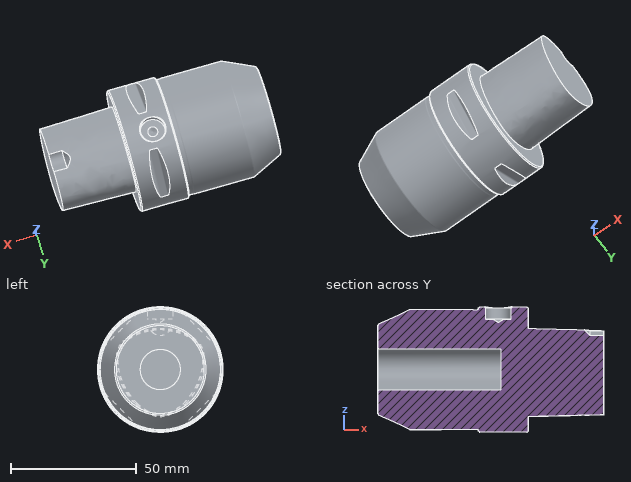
import cadquery as cq
import math


BODY_LENGTH = 60.0
NOSE_FACE_RADIUS = 17.5
NOSE_RADIUS = 18.2
NOSE_EDGE = 0.3
CONE_LENGTH = 12.8
BARREL_RADIUS = 48.0 / 2
BARREL_EDGE_FILLET = 1.0
GROOVE_RADIUS = 47.8 / 2
GROOVE_START = -22.4
GROOVE_RAMP = 0.5
GROOVE_LIP = 0.4
FLANGE_RADIUS = 50.0 / 2
FLANGE_WIDTH = 20.0
FLANGE_CHAMFER = 0.5
BORE_RADIUS = 16.0 / 2
BORE_DEPTH = 49.0

SHANK_LENGTH = 30.0
SHANK_MEAN_RADIUS = 17.6
SHANK_LOBE_COUNT = 3
SHANK_LOBE = 1.2
SHANK_TAPER = 1.0 / 40
SHANK_CURVE_POINTS = 36

KEYWAY_RADIUS = 4.5
KEYWAY_LENGTH = 5.5
KEYWAY_AXIS_HEIGHT = 18.05

SLOT_X = -10.0
SLOT_COUNT = 4
SLOT_FIRST_ANGLE = 45.0
SLOT_FLOOR_RADIUS = 22.25
SLOT_FLOOR_WIDTH = 3.4
SLOT_WALL_ANGLE = 30.0
SLOT_CORNER_RADIUS = 0.75

SCREW_X = -12.0
SCREW_RADIUS = 10.0 / 2
SCREW_CHAMFER = 0.3
SCREW_FLOOR_HEIGHT = 20.0
SCREW_SOCKET_RADIUS = 4.0 / 2
SCREW_SOCKET_DEPTH = 1.2

CUT_MARGIN = 1.0


def make_body():
    nose = -BODY_LENGTH
    cone_end = nose + CONE_LENGTH
    flange_start = -FLANGE_WIDTH
    profile = [
        (nose, 0),
        (nose, NOSE_FACE_RADIUS),
        (nose + NOSE_EDGE, NOSE_RADIUS),
        (cone_end, BARREL_RADIUS),
        (GROOVE_START, BARREL_RADIUS),
        (GROOVE_START + GROOVE_RAMP, GROOVE_RADIUS),
        (flange_start - GROOVE_LIP, GROOVE_RADIUS),
        (flange_start, BARREL_RADIUS),
        (flange_start, FLANGE_RADIUS - FLANGE_CHAMFER),
        (flange_start + FLANGE_CHAMFER, FLANGE_RADIUS),
        (-FLANGE_CHAMFER, FLANGE_RADIUS),
        (0, FLANGE_RADIUS - FLANGE_CHAMFER),
        (0, 0),
    ]
    turned = cq.Workplane("XY").polyline(profile).close().revolve(360, (0, 0, 0), (1, 0, 0))
    cone_edge = cq.NearestToPointSelector((cone_end, 0, 0))
    return turned.edges(cone_edge).fillet(BARREL_EDGE_FILLET)


def shank_section(mean_radius):
    """Points of the three-lobed curve, from a support distance that swings about its mean."""
    points = []
    for i in range(SHANK_CURVE_POINTS):
        angle = 2 * math.pi * i / SHANK_CURVE_POINTS
        support = mean_radius + SHANK_LOBE * math.sin(SHANK_LOBE_COUNT * angle)
        slope = SHANK_LOBE_COUNT * SHANK_LOBE * math.cos(SHANK_LOBE_COUNT * angle)
        y = support * math.cos(angle) - slope * math.sin(angle)
        z = support * math.sin(angle) + slope * math.cos(angle)
        points.append((y, z))
    return points


def make_shank():
    end_radius = SHANK_MEAN_RADIUS - SHANK_TAPER * SHANK_LENGTH
    return (
        cq.Workplane("YZ")
        .spline(shank_section(SHANK_MEAN_RADIUS), periodic=True)
        .close()
        .workplane(offset=SHANK_LENGTH)
        .spline(shank_section(end_radius), periodic=True)
        .close()
        .loft(ruled=True)
    )


def make_bore():
    return cq.Workplane("YZ", origin=(-BODY_LENGTH, 0, 0)).circle(BORE_RADIUS).extrude(BORE_DEPTH)


def make_keyway():
    """Round-bottomed groove along X whose blind end is a 45 degree cone."""
    cone_tip = SHANK_LENGTH - KEYWAY_LENGTH - KEYWAY_RADIUS
    open_end = SHANK_LENGTH + CUT_MARGIN
    profile = [
        (cone_tip, 0),
        (cone_tip + KEYWAY_RADIUS, KEYWAY_RADIUS),
        (open_end, KEYWAY_RADIUS),
        (open_end, 0),
    ]
    return (
        cq.Workplane("XY", origin=(0, 0, KEYWAY_AXIS_HEIGHT))
        .polyline(profile)
        .close()
        .revolve(360, (0, 0, 0), (1, 0, 0))
    )


def make_slot(angle):
    """Straight trapezoidal slot with rounded floor corners, turned about X to the given angle."""
    height = FLANGE_RADIUS + CUT_MARGIN - SLOT_FLOOR_RADIUS
    floor_half = SLOT_FLOOR_WIDTH / 2
    top_half = floor_half + height * math.tan(math.radians(SLOT_WALL_ANGLE))
    return (
        cq.Workplane("XZ", origin=(SLOT_X, 0, SLOT_FLOOR_RADIUS))
        .polyline([(-floor_half, 0), (floor_half, 0), (top_half, height), (-top_half, height)])
        .close()
        .extrude(FLANGE_RADIUS, both=True)
        .edges("|Y and <Z")
        .fillet(SLOT_CORNER_RADIUS)
        .rotate((0, 0, 0), (1, 0, 0), angle)
    )


def make_screw_recess():
    top = FLANGE_RADIUS + CUT_MARGIN
    mouth_radius = SCREW_RADIUS + SCREW_CHAMFER
    profile = [
        (0, SCREW_FLOOR_HEIGHT - SCREW_SOCKET_DEPTH),
        (SCREW_SOCKET_RADIUS, SCREW_FLOOR_HEIGHT),
        (SCREW_RADIUS, SCREW_FLOOR_HEIGHT),
        (SCREW_RADIUS, FLANGE_RADIUS - 2 * SCREW_CHAMFER),
        (mouth_radius, FLANGE_RADIUS - SCREW_CHAMFER),
        (mouth_radius, top),
        (0, top),
    ]
    return (
        cq.Workplane("XZ", origin=(SCREW_X, 0, 0))
        .polyline(profile)
        .close()
        .revolve(360, (0, 0, 0), (0, 1, 0))
    )


result = make_body().union(make_shank())
result = result.cut(make_bore())
result = result.cut(make_keyway())
for slot_index in range(SLOT_COUNT):
    result = result.cut(make_slot(SLOT_FIRST_ANGLE + slot_index * 360 / SLOT_COUNT))
result = result.cut(make_screw_recess())